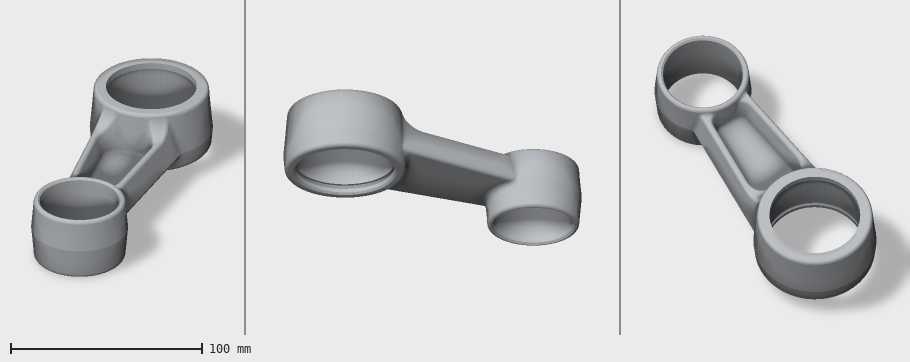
import cadquery as cq
import math

centre_distance = 110.0

big_radius = 32.25
big_top = 24.5
big_bottom = -9.5
bearing_diameter = 52.0
lip_diameter = 47.5
lip_thickness = 3.5
ring_groove_diameter = 55.0
ring_groove_width = 2.65
ring_groove_offset = 3.1

small_radius = 25.4
small_top = 17.0
small_bottom = -17.0
small_bore_diameter = 41.8
bore_chamfer = 1.0

boss_draft = 5.0
boss_edge_fillet = 2.0

arm_half_width_big = 26.0
arm_half_width_small = 16.0
arm_draft = 15.0
arm_top = 14.0
arm_bottom = -2.35
rib_width = 3.2
arm_fillet = 2.0
big_junction_fillet = 3.0
small_junction_fillet = 2.0
sweep_radius = 11.3
sweep_start = 41.3

pocket_floor = 2.0
pocket_big_corner = 9.0
pocket_small_corner = 3.5
pocket_end_gap = 0.3


big_y = 0.0
small_y = big_y - centre_distance
arm_slope = math.tan(math.radians(arm_draft))
boss_slope = math.tan(math.radians(boss_draft))


def boss(radius, bottom, top, y):
    """Solid turned body with draft both ways, widest at the parting plane."""
    body = (
        cq.Workplane("XZ")
        .polyline([
            (0, bottom),
            (radius + bottom * boss_slope, bottom),
            (radius, 0),
            (radius - top * boss_slope, top),
            (0, top),
        ])
        .close()
        .revolve(360, (0, 0, 0), (0, 1, 0))
    )
    return body.translate((0, y, 0))


def rounded_boss(radius, bottom, top, y):
    """Boss with its top and bottom rims rounded."""
    return boss(radius, bottom, top, y).faces("<Z or >Z").edges().fillet(boss_edge_fillet)


def arm_half_width(y):
    """Half width of the arm at the parting plane."""
    return arm_half_width_big + (arm_half_width_small - arm_half_width_big) * y / small_y


def tapered_bar(height):
    """Bar between the two boss axes, standing on the parting plane, drafted on its sides."""
    return (
        cq.Workplane("XY")
        .polyline([
            (-arm_half_width_big, big_y),
            (arm_half_width_big, big_y),
            (arm_half_width_small, small_y),
            (-arm_half_width_small, small_y),
        ])
        .close()
        .extrude(height, taper=arm_draft)
    )


def upper_arm():
    """Arm above the parting plane: flat top that sweeps up to the big boss, edges rounded."""
    clearance = (
        cq.Workplane("XZ")
        .moveTo(sweep_start - sweep_radius, arm_top + sweep_radius)
        .radiusArc((sweep_start, arm_top), -sweep_radius)
        .lineTo(2 * centre_distance, arm_top)
        .lineTo(2 * centre_distance, arm_top + sweep_radius)
        .close()
        .revolve(360, (0, 0, 0), (0, 1, 0))
    )
    body = tapered_bar(big_top).cut(clearance)
    mid_y = (small_y - sweep_start) / 2
    edge_x = arm_half_width(mid_y) - arm_top * arm_slope
    for side in (-1, 1):
        body = body.edges(nearest((side * edge_x, mid_y, arm_top))).fillet(arm_fillet)
    return body


def lower_arm():
    """Shallow underside of the arm with rounded long edges."""
    return tapered_bar(arm_bottom).faces("<Z").edges("not |X").fillet(arm_fillet)


def pocket():
    """Solid removed between the ribs: drafted walls, rounded corners and floor edge."""
    inset = arm_top * arm_slope + rib_width + (arm_top - pocket_floor) * arm_slope
    big_end = big_y - big_radius - pocket_end_gap
    small_end = small_y + small_radius + pocket_end_gap
    big_half = arm_half_width(big_end) - inset
    small_half = arm_half_width(small_end) - inset
    outline = (
        cq.Sketch()
        .polygon([
            (-big_half, big_end),
            (big_half, big_end),
            (small_half, small_end),
            (-small_half, small_end),
            (-big_half, big_end),
        ])
        .vertices(">Y").fillet(pocket_big_corner)
        .reset()
        .vertices("<Y").fillet(pocket_small_corner)
    )
    tool = (
        cq.Workplane("XY", origin=(0, 0, pocket_floor))
        .placeSketch(outline)
        .extrude(big_top - pocket_floor, taper=-arm_draft)
    )
    return tool.faces("<Z").edges().fillet(arm_fillet)


def nearest(point):
    return cq.selectors.NearestToPointSelector(point)


def ribbed_arm():
    """Complete arm with its pocket and rounded rib edges."""
    body = upper_arm().cut(pocket())
    rim_end = small_y + small_radius + pocket_end_gap - (arm_top - pocket_floor) * arm_slope
    body = body.edges(nearest((0, rim_end, arm_top))).fillet(arm_fillet)
    return body.union(lower_arm())


def junction_edges(body, radius, y):
    """Edges where the arm meets the drafted wall of a boss."""
    tolerance = 0.02
    found = []
    for edge in body.edges().vals():
        if edge.IsClosed() or edge.geomType() == "LINE":
            continue
        points = [edge.positionAt(t) for t in (0, 0.3, 0.5, 0.7, 1)]
        if all(abs(p.z) < tolerance for p in points):
            continue
        gaps = [math.hypot(p.x, p.y - y) - radius + abs(p.z) * boss_slope for p in points]
        if all(abs(gap) < tolerance for gap in gaps):
            found.append(edge)
    return found


def blend_junction(body, radius, y, fillet):
    return body.newObject(junction_edges(body, radius, y)).fillet(fillet)


def big_rim_trim():
    """Ring outside the rounded top rim of the big boss."""
    height = boss_edge_fillet
    block = (
        cq.Workplane("XY", origin=(0, big_y, big_top - height))
        .circle(big_radius)
        .extrude(height)
    )
    return block.cut(rounded_boss(big_radius, big_bottom, big_top, big_y))


def turned_cutter(profile, y):
    """Solid turned about a boss axis from (radius, z) points that start and end on the axis."""
    cutter = cq.Workplane("XZ").polyline(profile).close().revolve(360, (0, 0, 0), (0, 1, 0))
    return cutter.translate((0, y, 0))


def big_bore():
    """Bearing seat under a lip, with a retaining ring groove and a chamfered mouth below."""
    lip = lip_diameter / 2
    seat = bearing_diameter / 2
    groove = ring_groove_diameter / 2
    seat_top = big_top - lip_thickness
    groove_low = big_bottom + ring_groove_offset
    groove_high = groove_low + ring_groove_width
    profile = [
        (0, big_bottom),
        (seat + bore_chamfer, big_bottom),
        (seat, big_bottom + bore_chamfer),
        (seat, groove_low),
        (groove, groove_low),
        (groove, groove_high),
        (seat, groove_high),
        (seat, seat_top),
        (lip, seat_top),
        (lip, big_top),
        (0, big_top),
    ]
    return turned_cutter(profile, big_y)


def small_bore():
    """Through bore with a chamfer at both ends."""
    bore = small_bore_diameter / 2
    profile = [
        (0, small_bottom),
        (bore + bore_chamfer, small_bottom),
        (bore, small_bottom + bore_chamfer),
        (bore, small_top - bore_chamfer),
        (bore + bore_chamfer, small_top),
        (0, small_top),
    ]
    return turned_cutter(profile, small_y)


big_lower_rim = nearest((0, big_y + big_radius, big_bottom))
body = ribbed_arm()
body = body.union(rounded_boss(small_radius, small_bottom, small_top, small_y))
body = body.union(boss(big_radius, big_bottom, big_top, big_y).edges(big_lower_rim).fillet(boss_edge_fillet))
body = blend_junction(body, big_radius, big_y, big_junction_fillet)
body = blend_junction(body, small_radius, small_y, small_junction_fillet)
body = body.cut(big_rim_trim())
result = body.cut(big_bore()).cut(small_bore())